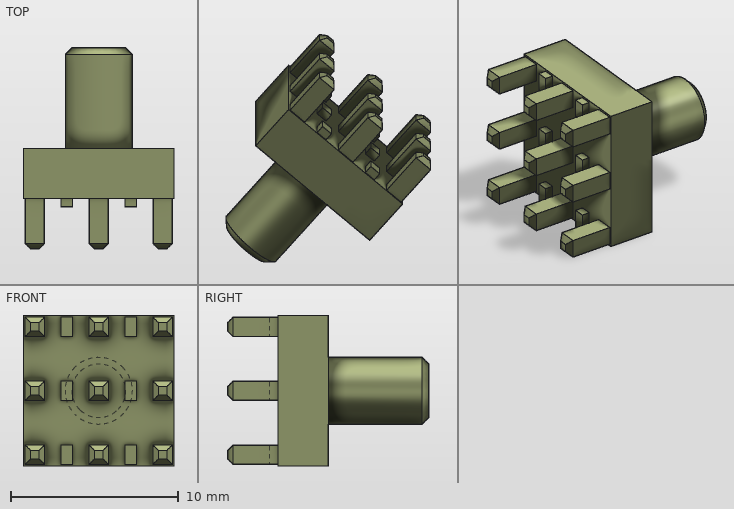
import cadquery as cq

BODY_SIDE = 9.0
BODY_THICKNESS = 3.0

PLUNGER_DIAMETER = 4.0
PLUNGER_LENGTH = 6.0
PLUNGER_CHAMFER = 0.4

PIN_PITCH = 3.81
PIN_SIDE = 1.15
PIN_LENGTH = 3.0
PIN_CHAMFER = 0.32

STANDOFF_WIDTH = 0.7
STANDOFF_HEIGHT = PIN_SIDE
STANDOFF_LENGTH = 0.5

PIN_COLUMNS = [-PIN_PITCH, 0, PIN_PITCH]
ROW_HEIGHTS = PIN_COLUMNS
STANDOFF_COLUMNS = [-PIN_PITCH / 2, PIN_PITCH / 2]


def grid(columns):
    """Centres of a feature repeated at the given X columns in every row."""
    return [(x, z) for x in columns for z in ROW_HEIGHTS]


def make_body():
    """Housing with its pin face on the plane Y = 0."""
    return cq.Workplane("XZ").rect(BODY_SIDE, BODY_SIDE).extrude(-BODY_THICKNESS)


def make_plunger():
    """Plunger with a chamfered free end, centred on the back of the housing."""
    plunger = (
        cq.Workplane("XZ", origin=(0, BODY_THICKNESS, 0))
        .circle(PLUNGER_DIAMETER / 2)
        .extrude(-PLUNGER_LENGTH)
    )
    return plunger.faces(">Y").chamfer(PLUNGER_CHAMFER)


def make_pins():
    """Square pins with tapered tips."""
    pins = (
        cq.Workplane("XZ")
        .pushPoints(grid(PIN_COLUMNS))
        .rect(PIN_SIDE, PIN_SIDE)
        .extrude(PIN_LENGTH)
    )
    return pins.faces("<Y").chamfer(PIN_CHAMFER)


def make_standoffs():
    """Short rectangular pads between the pins."""
    return (
        cq.Workplane("XZ")
        .pushPoints(grid(STANDOFF_COLUMNS))
        .rect(STANDOFF_WIDTH, STANDOFF_HEIGHT)
        .extrude(STANDOFF_LENGTH)
    )


result = make_body().union(make_plunger()).union(make_pins()).union(make_standoffs())